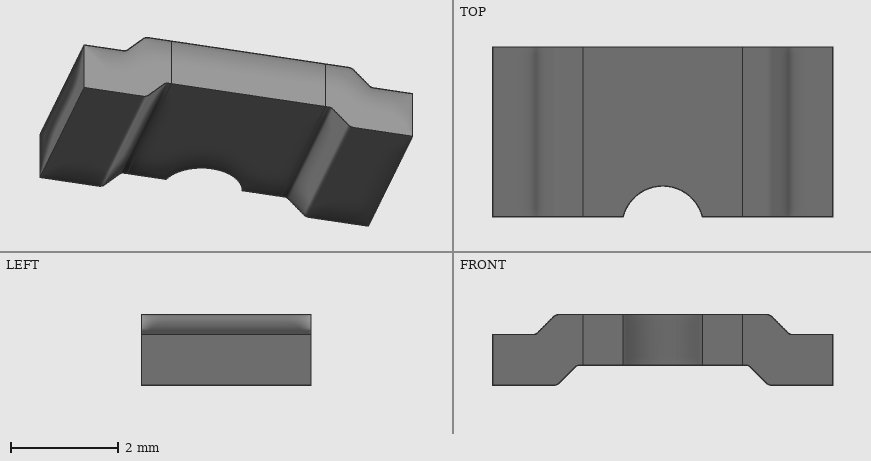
import cadquery as cq
import math

LENGTH = 6.35
WIDTH = 3.17
HEIGHT = 1.33
THICKNESS = 0.95
STEP = HEIGHT - THICKNESS

PLATE_LENGTH = 2.98
NOTCH_RADIUS = 0.76
NOTCH_DEPTH = 0.57

BEND_ANGLE = math.radians(45)
UPPER_BEND_X = 1.995
LOWER_BEND_X = UPPER_BEND_X - THICKNESS * math.tan(BEND_ANGLE / 2)
SLOPE_RUN = STEP / math.tan(BEND_ANGLE)
OUTER_BEND_RADIUS = 0.15
INNER_BEND_RADIUS = 0.1

HALF_LENGTH = LENGTH / 2
HALF_PLATE = PLATE_LENGTH / 2


def make_plate():
    """Raised middle plate with a circular notch in its front edge."""
    plate = (
        cq.Workplane("XY")
        .workplane(offset=STEP)
        .rect(PLATE_LENGTH, WIDTH)
        .extrude(THICKNESS)
    )
    notch_center_y = -WIDTH / 2 + NOTCH_DEPTH - NOTCH_RADIUS
    notch = (
        cq.Workplane("XY")
        .center(0, notch_center_y)
        .circle(NOTCH_RADIUS)
        .extrude(HEIGHT)
    )
    return plate.cut(notch)


def make_terminal(side):
    """Stepped terminal at one end; side is -1 for -X and +1 for +X."""
    lower_inner_bend = (LOWER_BEND_X, STEP)
    lower_outer_bend = (LOWER_BEND_X + SLOPE_RUN, 0)
    upper_inner_bend = (UPPER_BEND_X + SLOPE_RUN, THICKNESS)
    upper_outer_bend = (UPPER_BEND_X, HEIGHT)
    outline = [
        (HALF_PLATE, STEP),
        lower_inner_bend,
        lower_outer_bend,
        (HALF_LENGTH, 0),
        (HALF_LENGTH, THICKNESS),
        upper_inner_bend,
        upper_outer_bend,
        (HALF_PLATE, HEIGHT),
    ]
    terminal = (
        cq.Workplane("XZ")
        .polyline([(side * x, z) for x, z in outline])
        .close()
        .extrude(WIDTH / 2, both=True)
    )
    bends = [
        (lower_inner_bend, INNER_BEND_RADIUS),
        (lower_outer_bend, OUTER_BEND_RADIUS),
        (upper_inner_bend, INNER_BEND_RADIUS),
        (upper_outer_bend, OUTER_BEND_RADIUS),
    ]
    for (x, z), radius in bends:
        bend_edge = cq.selectors.NearestToPointSelector((side * x, 0, z))
        terminal = terminal.edges(bend_edge).fillet(radius)
    return terminal


plate = make_plate()
terminals = [make_terminal(side) for side in (-1, 1)]

result = cq.Compound.makeCompound([plate.val(), *[terminal.val() for terminal in terminals]])